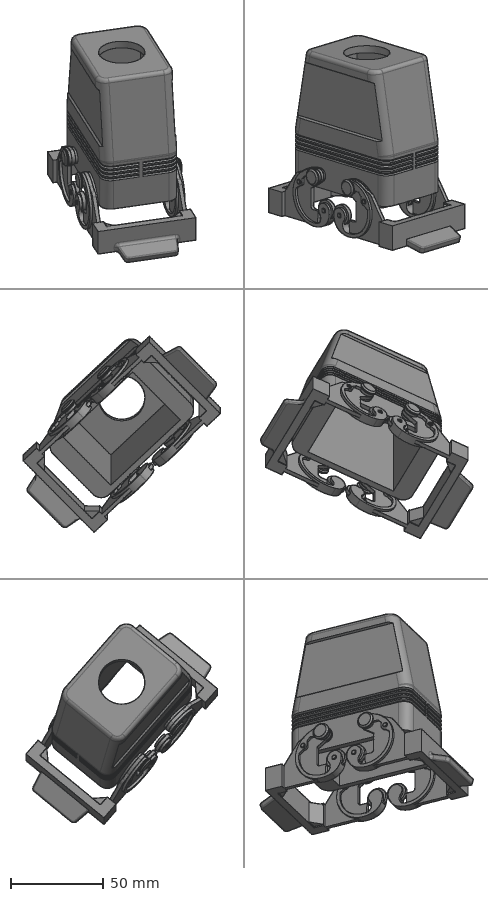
import cadquery as cq
import math

overall_width = 58.0

hood_half_length = 36.6
hood_top_half_length = 27.8
hood_half_width = 21.7
hood_height = 75.1
taper_start = 28.6
taper_blend_radius = 4.6
corner_radius = 6.0
top_edge_radius = 2.4
cable_hole_diameter = 25.0

cavity_half_length = 26.2
cavity_half_width = 18.5
top_wall = 4.0

recess_depth = 1.2
recess_bottom = 37.0
recess_top = 68.2
recess_bottom_bevel = 0.9
recess_top_bevel = 0.7

groove_count = 4
groove_pitch = 2.4
groove_width = 1.6
groove_floor = 0.3
groove_depth = 0.8
lowest_groove = 18.3
groove_bridge = 2.3

bar_outer_span = 95.1
bar_outer_x = -bar_outer_span / 2
bar_inner_x = -37.4
bar_web = 4.4
bar_half_width = 27.7
bar_arm_inner = 21.4
bar_bottom = -20.3
bar_top = -6.4
gusset_length = 5.8
gusset_setback = 0.8

tab_tilt = 16.8
tab_length = 11.0
tab_root_half_width = 17.0
tab_end_half_width = 14.8
tab_thickness = 3.7
tab_root_z = -16.3
tab_corner_radius = 2.1
tab_edge_radius = 0.7
tab_embed = 2.3
tab_root_fillet = 2.0

plate_inner_y = 23.3
plate_outer_y = 25.4
slot_x = -17.3
slot_top_z = 0
slot_floor_z = -11.9
slot_corner_radius = 1.6
plate_tip_x = -11.8
plate_tip_angle = -85
hub_tangent_angle = -55
plate_shoulder_start = (-29.4, 5.0)
plate_shoulder_middle = (-28.4, 6.3)
plate_shoulder_end = (-27.0, 7.0)
plate_crest_angle = 127
plate_lip = 0.3

rim_inner_y = 21.9
rim_outer_y = 26.9
ring_center = (-13.5, -4.5)
ring_outer_radius = 16.1
ring_inner_radius = 14.1
hub_center = (ring_center[0], 7.6)
hub_radius = ring_center[1] + ring_outer_radius - hub_center[1]
hub_plate_radius = hub_radius + plate_lip
roller_center = (-6.0, -10.0)
roller_radius = 5.6
hook_head_radius = 4.2
ring_left_angle = 190
ring_lower_left_angle = 225
hook_head_top_angle = 100
hook_blend_start = -68
hook_throat_end = -140
hook_throat_middle = (-8.5, -14.7)
hook_throat_start_x = -12.4

rivet_center = (-25.0, 2.2)
rivet_radius = 1.4
rivet_face_radius = 1.0
rivet_height = 0.5
lug_radius = 2.4
lug_step_z = 4.5
lug_shoulder = (-20.6, 6.5)
lug_foot_angle = 170
knob_stem_radius = 2.5
knob_radius = 4.6
knob_face_radius = 3.7
knob_inner_y = 27.6
knob_bevel_y = 28.1
knob_outer_y = overall_width / 2


def on_circle(center, radius, angle):
    """Point on a circle in the XZ plane, angle in degrees from +X toward +Z."""
    turn = math.radians(angle)
    return (center[0] + radius * math.cos(turn), center[1] + radius * math.sin(turn))


def front_plane(y):
    """XZ plane at distance y in front of the centre; extrusions go toward -Y."""
    return cq.Workplane("XZ", origin=(0, -y, 0))


def disc(center, radius, y_from, y_to):
    return front_plane(y_from).center(*center).circle(radius).extrude(y_to - y_from)


def hood_shell():
    outline = (
        cq.Sketch()
        .polygon([
            (-hood_half_length, 0),
            (-hood_half_length, taper_start),
            (-hood_top_half_length, hood_height),
            (hood_top_half_length, hood_height),
            (hood_half_length, taper_start),
            (hood_half_length, 0),
            (-hood_half_length, 0),
        ])
        .vertices(">X or <X").vertices(">Y").fillet(taper_blend_radius)
    )
    solid = cq.Workplane("XZ").placeSketch(outline).extrude(hood_half_width, both=True)
    solid = solid.edges("(>Y or <Y) and (not <Z) and (not >Z)").fillet(corner_radius)
    solid = solid.faces(">Z").edges().fillet(top_edge_radius)
    cavity = (
        cq.Workplane("XY")
        .rect(2 * cavity_half_length, 2 * cavity_half_width)
        .extrude(hood_height - top_wall)
    )
    cable_hole = cq.Workplane("XY").circle(cable_hole_diameter / 2).extrude(hood_height)
    return solid.cut(cavity).cut(cable_hole)


def side_recess():
    """Cutter for the recess on the -Y side, running along X."""
    floor_y = recess_depth - hood_half_width
    return (
        cq.Workplane("YZ")
        .polyline([
            (-hood_half_width, recess_bottom - recess_bottom_bevel),
            (floor_y, recess_bottom),
            (floor_y, recess_top),
            (-hood_half_width, recess_top + recess_top_bevel),
        ])
        .close()
        .extrude(hood_half_length, both=True)
    )


def groove_ring(bottom):
    """Cutter for one groove: a block around the hood less a waisted core."""
    floor_start = (groove_width - groove_floor) / 2
    floor_end = (groove_width + groove_floor) / 2
    waist = [(0, 0), (floor_start, groove_depth), (floor_end, groove_depth), (groove_width, 0)]
    sections = []
    for height, inset in waist:
        section = (
            cq.Sketch()
            .rect(2 * (hood_half_length - inset), 2 * (hood_half_width - inset))
            .vertices().fillet(corner_radius - inset)
        )
        sections.append(section.moved(cq.Location(cq.Vector(0, 0, bottom + height))))
    core = cq.Workplane("XY").placeSketch(*sections).loft(ruled=True)
    block = (
        cq.Workplane("XY", origin=(0, 0, bottom))
        .rect(2 * hood_half_length, 2 * hood_half_width)
        .extrude(groove_width)
    )
    bridge = (
        cq.Workplane("XY", origin=(0, 0, bottom))
        .rect(2 * hood_half_length, groove_bridge)
        .extrude(groove_width)
    )
    return block.cut(core).cut(bridge)


def hood():
    recess = side_recess()
    body = hood_shell().cut(recess).cut(recess.mirror("XZ"))
    for index in range(groove_count):
        body = body.cut(groove_ring(lowest_groove + index * groove_pitch - groove_width / 2))
    return body


def cross_bar():
    web_inner_x = bar_outer_x + bar_web
    bar = (
        cq.Workplane("XY", origin=(0, 0, bar_bottom))
        .polyline([
            (bar_outer_x, -bar_half_width),
            (bar_inner_x, -bar_half_width),
            (bar_inner_x, -bar_arm_inner),
            (web_inner_x, -bar_arm_inner),
            (web_inner_x, bar_arm_inner),
            (bar_inner_x, bar_arm_inner),
            (bar_inner_x, bar_half_width),
            (bar_outer_x, bar_half_width),
        ])
        .close()
        .extrude(bar_top - bar_bottom)
    )
    gusset = (
        cq.Workplane("XY", origin=(0, 0, bar_bottom + gusset_setback))
        .polyline([
            (web_inner_x, -bar_arm_inner),
            (bar_inner_x, -bar_arm_inner),
            (web_inner_x, -bar_arm_inner + gusset_length),
        ])
        .close()
        .extrude(bar_top - bar_bottom - 2 * gusset_setback)
    )
    return bar.union(gusset).union(gusset.mirror("XZ"))


def tilt_onto_bar(shape):
    """Move a shape from the flat position of the tab to its sloping place on the bar."""
    return shape.rotate((0, 0, 0), (0, 1, 0), -tab_tilt).translate((bar_outer_x, 0, tab_root_z))


def finger_tab():
    """Tapered plate with rounded free edges, tilted down away from the bar."""
    blank = (
        cq.Workplane("XY")
        .polyline([
            (tab_embed, -tab_root_half_width),
            (0, -tab_root_half_width),
            (-tab_length, -tab_end_half_width),
            (-tab_length, tab_end_half_width),
            (0, tab_root_half_width),
            (tab_embed, tab_root_half_width),
        ])
        .close()
        .extrude(-tab_thickness)
        .edges("|Z and <X").fillet(tab_corner_radius)
    )
    blank = blank.faces("<Z or >Z").edges("not >X").fillet(tab_edge_radius)
    return tilt_onto_bar(blank)


def side_plate():
    plate_tip_foot = on_circle(ring_center, ring_inner_radius, plate_tip_angle)
    crest_radius = ring_outer_radius + plate_lip
    slot_top = (slot_x, slot_top_z)
    hub_tangent = on_circle(hub_center, hub_plate_radius, hub_tangent_angle)
    plate = (
        front_plane(plate_inner_y)
        .moveTo(bar_inner_x, bar_bottom)
        .lineTo(bar_inner_x, bar_top)
        .lineTo(*plate_shoulder_start)
        .threePointArc(plate_shoulder_middle, plate_shoulder_end)
        .lineTo(*on_circle(ring_center, crest_radius, plate_crest_angle))
        .threePointArc(
            on_circle(ring_center, crest_radius, (plate_crest_angle + 90) / 2),
            on_circle(ring_center, crest_radius, 90),
        )
        .lineTo(*hub_center)
        .lineTo(*hub_tangent)
        .lineTo(*slot_top)
        .lineTo(slot_x, slot_floor_z + slot_corner_radius)
        .radiusArc((slot_x + slot_corner_radius, slot_floor_z), -slot_corner_radius)
        .lineTo(plate_tip_x, slot_floor_z)
        .lineTo(*plate_tip_foot)
        .lineTo(ring_center[0], bar_bottom)
        .close()
        .extrude(plate_outer_y - plate_inner_y)
    )
    hub = disc(hub_center, hub_plate_radius, plate_inner_y, plate_outer_y)
    roller = disc(roller_center, roller_radius, plate_inner_y, plate_outer_y)
    return plate.union(hub).union(roller)


def hook_blend():
    """Arc that touches the ring and the hook head from inside: start, middle and end points."""
    to_head = (roller_center[0] - ring_center[0], roller_center[1] - ring_center[1])
    turn = math.radians(hook_blend_start)
    along_start = to_head[0] * math.cos(turn) + to_head[1] * math.sin(turn)
    gap = ring_outer_radius - hook_head_radius
    offset = (gap**2 - to_head[0] ** 2 - to_head[1] ** 2) / (2 * (gap - along_start))
    radius = ring_outer_radius - offset
    center = on_circle(ring_center, offset, hook_blend_start)
    end = math.degrees(math.atan2(roller_center[1] - center[1], roller_center[0] - center[0]))
    angles = (hook_blend_start, (hook_blend_start + end) / 2, end)
    return [on_circle(center, radius, angle) for angle in angles]


def hook_rim():
    blend_start, blend_middle, blend_end = hook_blend()
    throat_depth = math.sqrt(ring_inner_radius**2 - (hook_throat_start_x - ring_center[0]) ** 2)
    throat_start = (hook_throat_start_x, ring_center[1] - throat_depth)
    return (
        front_plane(rim_inner_y)
        .moveTo(*on_circle(ring_center, ring_outer_radius, 90))
        .threePointArc(on_circle(ring_center, ring_outer_radius, ring_left_angle), blend_start)
        .threePointArc(blend_middle, blend_end)
        .threePointArc(
            on_circle(roller_center, hook_head_radius, hook_head_top_angle),
            on_circle(roller_center, hook_head_radius, hook_throat_end),
        )
        .threePointArc(hook_throat_middle, throat_start)
        .threePointArc(
            on_circle(ring_center, ring_inner_radius, ring_lower_left_angle),
            on_circle(ring_center, ring_inner_radius, lug_foot_angle),
        )
        .lineTo(*on_circle(rivet_center, lug_radius, -90))
        .threePointArc(
            on_circle(rivet_center, lug_radius, -45),
            on_circle(rivet_center, lug_radius, 0),
        )
        .lineTo(rivet_center[0] + lug_radius, lug_step_z)
        .lineTo(*lug_shoulder)
        .lineTo(hub_center[0], lug_shoulder[1])
        .close()
        .extrude(rim_outer_y - rim_inner_y)
        .union(disc(hub_center, hub_radius, rim_inner_y, rim_outer_y))
    )


def turned_pin(profile, center):
    """Solid turned about a Y axis through center; profile lists (radius, distance in front) points."""
    start_y = profile[0][1]
    end_y = profile[-1][1]
    outline = [(0, start_y)] + profile + [(0, end_y)]
    return (
        cq.Workplane("XY")
        .polyline([(radius, -y) for radius, y in outline])
        .close()
        .revolve(360, (0, 0, 0), (0, 1, 0))
        .translate((center[0], 0, center[1]))
    )


def rivet(center):
    tip_y = rim_outer_y + rivet_height
    bevel_y = tip_y - (rivet_radius - rivet_face_radius)
    return turned_pin(
        [(rivet_radius, plate_outer_y), (rivet_radius, bevel_y), (rivet_face_radius, tip_y)], center
    )


def knob():
    """Pivot pin from the hood wall through the hub, with a bevelled head."""
    return turned_pin(
        [
            (knob_stem_radius, hood_half_width),
            (knob_stem_radius, knob_inner_y),
            (knob_radius, knob_inner_y),
            (knob_radius, knob_bevel_y),
            (knob_face_radius, knob_outer_y),
        ],
        hub_center,
    )


def flared_finger_tab():
    """Finger tab with a fillet against the bar along its top and both ends, but not underneath."""
    backing_bottom = bar_bottom - tab_length
    backing = (
        cq.Workplane("XY", origin=(bar_outer_x + tab_embed, 0, backing_bottom))
        .box(2 * tab_embed, 2 * bar_half_width, bar_top - backing_bottom, centered=(True, True, False))
    )
    tab = finger_tab().cut(backing)
    margin = tab_embed / 10
    root = cq.selectors.BoxSelector(
        (bar_outer_x - margin, -bar_half_width + margin, backing_bottom + margin),
        (bar_outer_x + margin, bar_half_width - margin, bar_top - margin),
        boundingbox=True,
    )
    above_underside = tilt_onto_bar(
        cq.Workplane("XY", origin=(0, 0, -tab_thickness))
        .box(4 * tab_length, 2 * bar_half_width, 2 * tab_length, centered=(True, True, False))
    )
    flared = backing.union(tab).edges(root).fillet(tab_root_fillet)
    return flared.cut(backing).intersect(above_underside)


def lever_sides():
    side = side_plate().union(hook_rim()).union(knob())
    for center in (rivet_center, roller_center):
        side = side.union(rivet(center))
    return side.union(side.mirror("XZ"))


lever_frame = cross_bar().union(lever_sides())
left_lever = lever_frame.union(finger_tab())
right_lever = lever_frame.union(flared_finger_tab()).mirror("YZ")
result = hood().union(left_lever).union(right_lever)